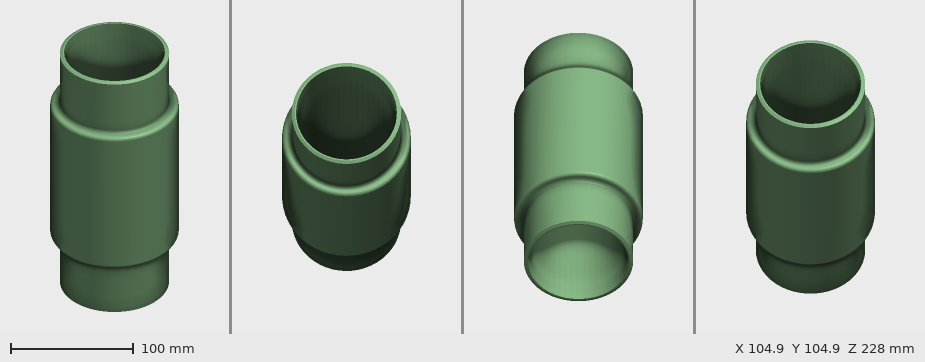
import cadquery as cq

total_length = 228.0
sleeve_length = 129.0
sleeve_diameter = 104.9
pipe_diameter = 89.1
bore_diameter = 82.0

round_radius = 3.0
bevel_width = 2.5
bevel_height = 1.1


def centred_cylinder(diameter, length):
    """Cylinder along Z with its middle at the origin."""
    return cq.Workplane("XY").cylinder(length, diameter / 2)


def bevelled_pipe():
    """Pipe blank running the full length, with a shallow bevel on both ends."""
    radius = pipe_diameter / 2
    half_length = total_length / 2
    shoulder = half_length - bevel_height
    face_radius = radius - bevel_width
    outline = [
        (0, -half_length),
        (face_radius, -half_length),
        (radius, -shoulder),
        (radius, shoulder),
        (face_radius, half_length),
        (0, half_length),
    ]
    return cq.Workplane("XZ").polyline(outline).close().revolve(360, (0, 0), (0, 1))


def at_sleeve_ends(diameter):
    """Selector for the circular edges of this diameter on both sleeve end faces."""
    reach = diameter / 2 + round_radius / 2
    half_slab = round_radius / 2
    selectors = []
    for end in (-sleeve_length / 2, sleeve_length / 2):
        low = (-reach, -reach, end - half_slab)
        high = (reach, reach, end + half_slab)
        selectors.append(cq.selectors.BoxSelector(low, high, boundingbox=True))
    return selectors[0] + selectors[1]


sleeve = centred_cylinder(sleeve_diameter, sleeve_length).edges("%CIRCLE").fillet(round_radius)

body = sleeve.union(bevelled_pipe())
body = body.edges(at_sleeve_ends(pipe_diameter)).fillet(round_radius)

result = body.cut(centred_cylinder(bore_diameter, total_length))